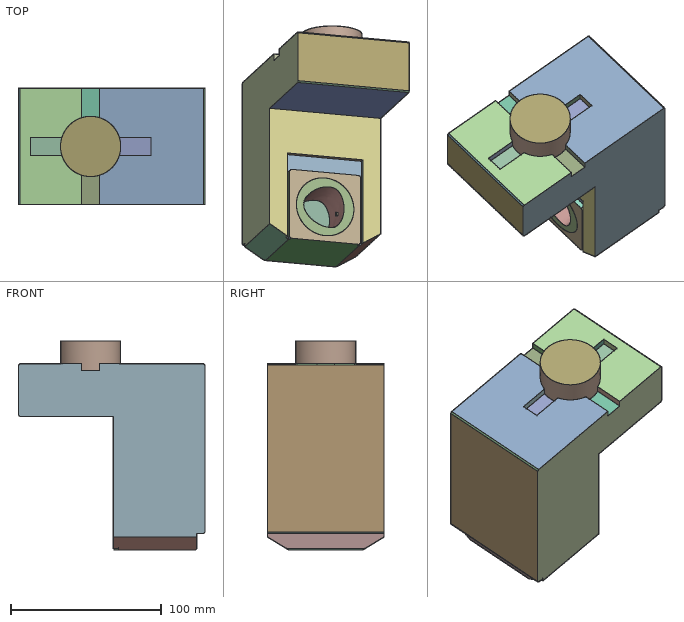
import cadquery as cq
import math

length = 124.0
width = 77.4
total_height = 139.0
boss_height = 15.2
top_z = total_height - boss_height
arm_bottom_z = 88.7
leg_x = 63.0
edge_chamfer = 1.0

step_depth = 5.4
step_z = 11.0
slope_height = 8.6
slope_run = 14.2

boss_diameter = 40.0
boss_x = 48.0
groove_width = 11.8
groove_depth = 4.6
groove_length = 2 * boss_diameter

recess_width = 52.4
recess_top_z = 58.8
recess_depth = 3.6
pad_width = 49.6
pad_top_z = 47.8
pad_setback = 0.4
pad_corner_chamfer = 1.1

socket_z = 23.9
ring_diameter = boss_diameter
ring_height = 0.1
socket_radius = 14.0
lobe_height = 0.9
socket_depth = 30.6
socket_taper = 0.49
outline_points = 48
pin_diameter = 2.5
pin_projection = 0.8
pin_inset = 13.9
pin_embed = 2.8


def make_body():
    profile = (
        cq.Workplane("XZ", origin=(0, width / 2, 0))
        .moveTo(0, arm_bottom_z)
        .lineTo(leg_x, arm_bottom_z)
        .lineTo(leg_x, 0)
        .lineTo(length - step_depth, 0)
        .lineTo(length - step_depth, step_z)
        .lineTo(length, step_z)
        .lineTo(length, top_z)
        .lineTo(0, top_z)
        .close()
        .extrude(width)
    )
    body = profile.edges("|Y and (<X or >X)").chamfer(edge_chamfer)
    body = body.faces("<Z").edges(">X").chamfer(edge_chamfer)
    for side in (-1, 1):
        slope = (
            cq.Workplane("YZ")
            .moveTo(side * width / 2, 0)
            .lineTo(side * width / 2, slope_height)
            .lineTo(side * (width / 2 - slope_run), 0)
            .close()
            .extrude(length)
        )
        body = body.cut(slope)
    return body


def block(x_start, x_size, y_size, z_bottom, z_top):
    """Box centred on Y = 0."""
    return cq.Workplane("XY").box(
        x_size, y_size, z_top - z_bottom, centered=(False, True, False)
    ).translate((x_start, 0, z_bottom))


def add_top_boss(body):
    groove_floor = top_z - groove_depth
    for x_size, y_size in ((groove_width, width), (groove_length, groove_width)):
        body = body.cut(block(boss_x - x_size / 2, x_size, y_size, groove_floor, top_z))
    boss = (
        cq.Workplane("XY", origin=(boss_x, 0, groove_floor))
        .circle(boss_diameter / 2)
        .extrude(total_height - groove_floor)
    )
    return body.union(boss)


def add_pad(body):
    body = body.cut(block(leg_x, recess_depth, recess_width, 0, recess_top_z))
    pad_x = leg_x + pad_setback
    pad = block(pad_x, recess_depth - pad_setback, pad_width, 0, pad_top_z)
    pad = pad.edges("|X").chamfer(pad_corner_chamfer)
    ring = (
        cq.Workplane("YZ", origin=(pad_x - ring_height, 0, socket_z))
        .circle(ring_diameter / 2)
        .extrude(recess_depth - pad_setback + ring_height)
    )
    return body.union(pad).union(ring)


def lobed_outline(radius):
    """Points of a constant-width curve with three lobes, one towards +Y."""
    points = []
    for i in range(outline_points):
        angle = 2 * math.pi * i / outline_points
        support = radius + lobe_height * math.cos(3 * angle)
        slope = -3 * lobe_height * math.sin(3 * angle)
        y = support * math.cos(angle) - slope * math.sin(angle)
        z = support * math.sin(angle) + slope * math.cos(angle)
        points.append((y, z))
    return points


def cut_socket(body):
    mouth_x = leg_x + pad_setback - ring_height
    socket = (
        cq.Workplane("YZ", origin=(mouth_x, 0, socket_z))
        .spline(lobed_outline(socket_radius), periodic=True)
        .close()
        .workplane(offset=socket_depth)
        .spline(lobed_outline(socket_radius - socket_taper), periodic=True)
        .close()
        .loft(ruled=True)
    )
    pin_tip_y = -(socket_radius - lobe_height - socket_taper - pin_projection)
    pin = (
        cq.Workplane("XZ", origin=(mouth_x + pin_inset, pin_tip_y, socket_z))
        .circle(pin_diameter / 2)
        .extrude(pin_embed)
    )
    return body.cut(socket).union(pin)


result = cut_socket(add_pad(add_top_boss(make_body())))